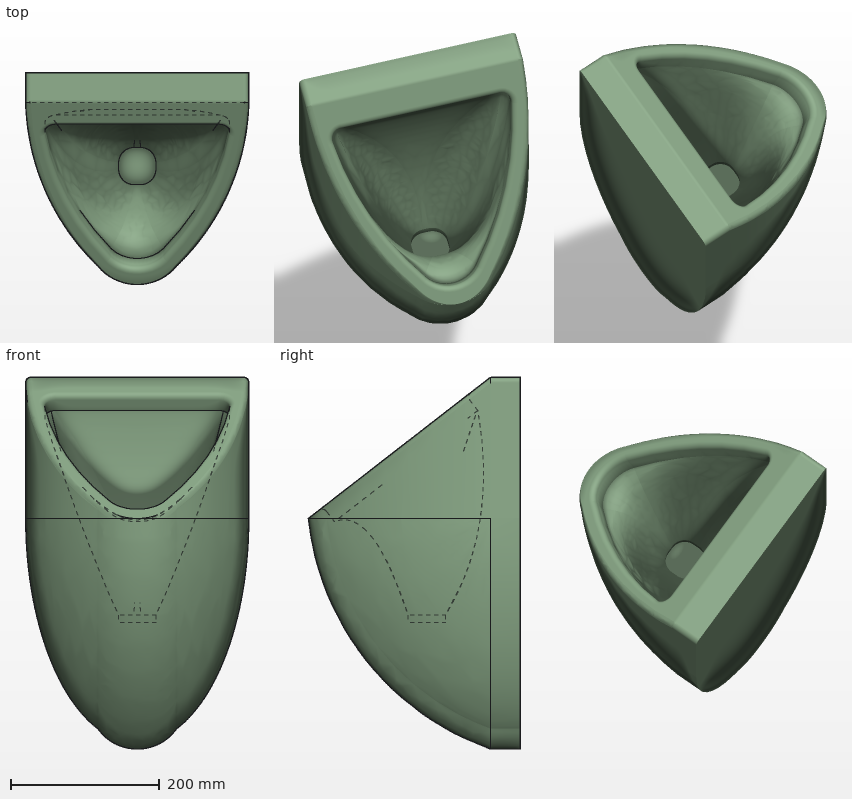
import cadquery as cq
import math

half_width = 300.28 / 2
top_height = 190.0
drop = 310.0
projection = 285.0
slab_depth = 40.0

nose_half = 53.0
plan_nose_y = -260.0
plan_side_mid = (113.0, -180.7)
front_semi_height = 302.0

shell_bulge = 0.145
shell_stations = 8

edge_radius = 7.5
slope_angle = math.atan2(top_height, projection - slab_depth)
rim_samples = 12
rim_arc_end = math.radians(75)
rim_sections = 4
rim_overshoot = 3.0

opening_back = 41.0
opening_side_points = ((124.8, 53.0), (93.0, 169.5), (35.3, 267.6))
opening_corner = 29.17 / 2
corner_split = 0.25
lip_radius = 7.5
pocket_depth = 25.0

drain_size = 50.0
drain_corner = 41.28 / 2
drain_y = -125.6
bowl_y = -123.0
bowl_z = -60.0
bowl_scale = 2.2
drain_top_z = -130.0
drain_floor_z = -140.0


def circle_through(a, b, c):
    """Centre and radius of the circle through three points."""
    d = 2 * (a[0] * (b[1] - c[1]) + b[0] * (c[1] - a[1]) + c[0] * (a[1] - b[1]))
    sa, sb, sc = (p[0] ** 2 + p[1] ** 2 for p in (a, b, c))
    u = (sa * (b[1] - c[1]) + sb * (c[1] - a[1]) + sc * (a[1] - b[1])) / d
    v = (sa * (c[0] - b[0]) + sb * (a[0] - c[0]) + sc * (b[0] - a[0])) / d
    return u, v, math.hypot(a[0] - u, a[1] - v)


plan_side = circle_through((half_width, -slab_depth), plan_side_mid, (nose_half, plan_nose_y))
plan_nose = circle_through((nose_half, plan_nose_y), (0, -projection), (-nose_half, plan_nose_y))
front_nose_z = -front_semi_height * math.sqrt(1 - (nose_half / half_width) ** 2)
front_nose = circle_through((nose_half, front_nose_z), (0, -drop), (-nose_half, front_nose_z))


def below_circle(circle, x):
    """Lower crossing of a circle at the given X."""
    u, v, radius = circle
    return v - math.sqrt(radius ** 2 - (x - u) ** 2)


def plan_y(x):
    """Front edge of the horizontal outline at Z = 0."""
    return below_circle(plan_nose if abs(x) <= nose_half else plan_side, abs(x))


def front_z(x):
    """Lower edge of the outline of the wall slab."""
    if abs(x) <= nose_half:
        return below_circle(front_nose, x)
    return -front_semi_height * math.sqrt(1 - (x / half_width) ** 2)


def slope_z(y):
    """Height of the sloped rim plane."""
    return (projection + y) * math.tan(slope_angle)


def make_slab():
    """Slab against the wall with rounded upper corners."""
    upper = (
        cq.Workplane("XY")
        .box(2 * half_width, slab_depth, top_height, centered=(True, False, False))
        .translate((0, -slab_depth, 0))
        .edges("|Y and >Z")
        .fillet(edge_radius)
    )
    side_angle = math.degrees(math.asin(-front_nose_z / front_semi_height))
    lower = (
        cq.Workplane("XZ")
        .moveTo(-half_width, 0)
        .lineTo(half_width, 0)
        .ellipseArc(half_width, front_semi_height, -side_angle, 0, sense=-1, startAtCurrent=True)
        .threePointArc((0, -drop), (-nose_half, front_nose_z))
        .ellipseArc(half_width, front_semi_height, 180, 180 + side_angle, sense=-1, startAtCurrent=True)
        .close()
        .extrude(slab_depth)
    )
    return upper.union(lower)


def shell_section(x):
    """Closed wire of the lower shell at one X: level top, upright back, arched front."""
    front = (plan_y(x), 0.0)
    foot = (-slab_depth, front_z(x))
    middle = (
        (front[0] + foot[0]) / 2 + shell_bulge * (foot[1] - front[1]),
        (front[1] + foot[1]) / 2 - shell_bulge * (foot[0] - front[0]),
    )
    points = [cq.Vector(x, y, z) for y, z in (front, middle, foot, (-slab_depth, 0.0))]
    return cq.Wire.assembleEdges([
        cq.Edge.makeThreePointArc(*points[:3]),
        cq.Edge.makeLine(points[2], points[3]),
        cq.Edge.makeLine(points[3], points[0]),
    ])


def make_lower_shell():
    """Bulging shell below Z = 0: a nose and two sides tapering to points."""
    nose_steps = range(-shell_stations // 2, shell_stations // 2 + 1)
    nose = cq.Solid.makeLoft([shell_section(2 * nose_half * i / shell_stations) for i in nose_steps])
    side_angle = math.acos(nose_half / half_width)
    angles = [side_angle * i / shell_stations for i in range(1, shell_stations + 1)]
    sections = [shell_section(half_width * math.cos(a)) for a in angles[::-1]]
    side_tip = cq.Vertex.makeVertex(half_width, -slab_depth, 0)
    side = cq.occ_impl.shapes.loft([*sections, side_tip], cap=True)
    shell = cq.Workplane(nose).union(cq.Workplane(side), clean=False)
    return shell.union(cq.Workplane(side.mirror("YZ")), clean=False)


def rim_section(inset, depth):
    """Body outline narrowed sideways by the inset, on a plane below the sloped rim."""
    scale = 1 - inset / half_width
    lower = depth / math.cos(slope_angle)

    def on_plane(x, y):
        return cq.Vector(scale * x, y, slope_z(y) - lower)

    def curve(x_start, x_end):
        step = (x_end - x_start) / rim_samples
        xs = [x_start + step * i for i in range(rim_samples + 1)]
        return cq.Edge.makeSpline([on_plane(x, plan_y(x)) for x in xs])

    corner = on_plane(half_width, -slab_depth)
    back_right = on_plane(half_width, 0)
    back_left = on_plane(-half_width, 0)
    return cq.Wire.assembleEdges([
        cq.Edge.makeLine(back_left, back_right),
        cq.Edge.makeLine(back_right, corner),
        curve(half_width, nose_half),
        curve(nose_half, -nose_half),
        curve(-nose_half, -half_width),
        cq.Edge.makeLine(on_plane(-half_width, -slab_depth), back_left),
    ])


def make_upper_front():
    """Upright part in front of the slab, cut by the sloped rim with its rounded outer edge."""
    prism = (
        cq.Workplane("XY")
        .moveTo(-half_width, -slab_depth)
        .lineTo(half_width, -slab_depth)
        .threePointArc(plan_side_mid, (nose_half, plan_nose_y))
        .threePointArc((0, -projection), (-nose_half, plan_nose_y))
        .threePointArc((-plan_side_mid[0], plan_side_mid[1]), (-half_width, -slab_depth))
        .close()
        .extrude(top_height)
    )
    angles = [rim_arc_end * i / rim_sections for i in range(rim_sections + 1)]
    profile = [(edge_radius * (1 - math.sin(a)), edge_radius * (1 - math.cos(a))) for a in angles]
    cap = cq.Solid.makeLoft([rim_section(*p) for p in profile])
    end_inset, end_depth = profile[-1]
    flare = rim_overshoot + end_inset
    flared = (-rim_overshoot, end_depth + flare * math.tan(rim_arc_end))
    skirt = cq.Solid.makeLoft([rim_section(end_inset, end_depth), rim_section(*flared)], True)
    rest = cq.Solid.extrudeLinear(rim_section(*flared), [], cq.Vector(0, 0, -top_height))
    envelope = cq.Workplane(cap).union(cq.Workplane(skirt)).union(cq.Workplane(rest))
    return prism.intersect(envelope)


def edge_between(points):
    """Line through two points or arc through three."""
    vectors = [cq.Vector(*p) for p in points]
    if len(vectors) == 2:
        return cq.Edge.makeLine(*vectors)
    return cq.Edge.makeThreePointArc(*vectors)


def closed_symmetric_wire(back, right_side, front, place):
    """Wire of a back edge, the right-hand edges, a front edge and the mirrored left-hand edges."""
    left_side = [[(-x, y) for x, y in reversed(piece)] for piece in reversed(right_side)]
    pieces = [back, *right_side, front, *left_side]
    return cq.Wire.assembleEdges([edge_between([place(*p) for p in piece]) for piece in pieces])


def arc_points(centre, radius, start, end):
    """Start, middle and end of an arc given by its angles."""
    angles = (start, (start + end) / 2, end)
    return [(centre[0] + radius * math.cos(a), centre[1] + radius * math.sin(a)) for a in angles]


def opening_wire(depth):
    """Opening outline on a plane parallel to the sloped rim."""
    u, v, radius = circle_through(*opening_side_points)
    corner_v = opening_back + opening_corner
    turn = math.asin((corner_v - v) / (radius - opening_corner))
    corner = (u + (radius - opening_corner) * math.cos(turn), corner_v)
    split = -math.pi / 2 + corner_split * (turn + math.pi / 2)
    low = opening_side_points[-1]
    side_end = math.atan2(low[1] - v, low[0] - u)
    nose_radius = low[0] / math.cos(side_end)
    nose = (0, low[1] - nose_radius * math.sin(side_end))

    def place(x, down):
        return (
            x,
            -slab_depth - down * math.cos(slope_angle) + depth * math.sin(slope_angle),
            top_height - down * math.sin(slope_angle) - depth * math.cos(slope_angle),
        )

    back = [(-corner[0], opening_back), (corner[0], opening_back)]
    right_side = [
        arc_points(corner, opening_corner, -math.pi / 2, split),
        arc_points(corner, opening_corner, split, turn),
        arc_points((u, v), radius, turn, side_end),
    ]
    front = arc_points(nose, nose_radius, side_end, math.pi - side_end)
    return closed_symmetric_wire(back, right_side, front, place)


def drain_wire(y_centre, z, scale):
    """Level rounded square in the shape of the drain, enlarged by the scale."""
    half = scale * drain_size / 2
    radius = scale * drain_corner
    flat = half - radius
    back = [(-flat, half), (flat, half)]
    right_side = [
        arc_points((flat, flat), radius, math.pi / 2, 0),
        [(half, flat), (half, -flat)],
        arc_points((flat, -flat), radius, 0, -math.pi / 2),
    ]
    front = [(flat, -half), (-flat, -half)]
    return closed_symmetric_wire(back, right_side, front, lambda x, y: (x, y_centre + y, z))


def make_pocket():
    """Straight-walled mouth of the basin, square to the sloped rim."""
    pocket = cq.Solid.makeLoft([opening_wire(0), opening_wire(pocket_depth)], True)
    return cq.Workplane(pocket)


def make_basin():
    """Bowl narrowing from the mouth to the drain, with a short flat-bottomed well."""
    bowl = cq.Solid.makeLoft([
        opening_wire(pocket_depth),
        drain_wire(bowl_y, bowl_z, bowl_scale),
        drain_wire(drain_y, drain_top_z, 1),
    ])
    well_ends = [drain_wire(drain_y, z, 1) for z in (drain_top_z, drain_floor_z)]
    well = cq.Solid.makeLoft(well_ends, True)
    return cq.Workplane(bowl).union(cq.Workplane(well), clean=False)


def round_shoulder(body):
    """Round the edge between the level top of the slab and the sloped rim."""
    shoulder = cq.selectors.NearestToPointSelector((0, -slab_depth, top_height))
    return body.edges(shoulder).fillet(edge_radius)


def round_lip(body):
    """Round the edge where the opening meets the sloped rim."""
    outward = cq.Vector(0, -math.sin(slope_angle), math.cos(slope_angle))
    rim_face = body.faces(cq.selectors.DirectionMinMaxSelector(outward)).val()
    return body.newObject(rim_face.innerWires()[0].Edges()).fillet(lip_radius)


body = make_slab().union(make_lower_shell(), clean=False).union(make_upper_front(), clean=False)
body = round_shoulder(body)
body = round_lip(body.cut(make_pocket(), clean=False))
result = body.cut(make_basin(), clean=False)